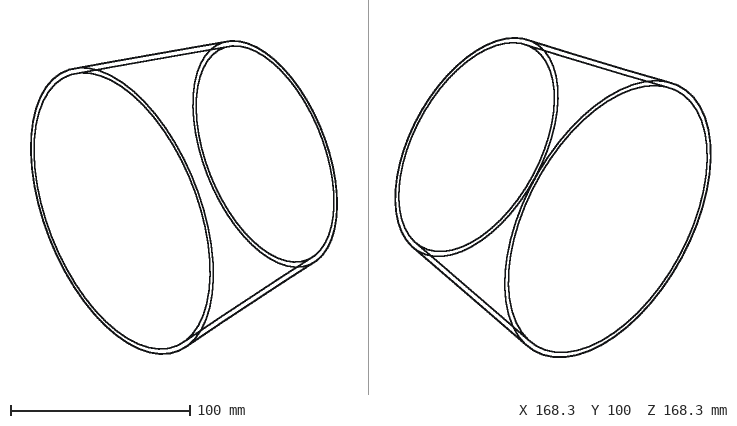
import cadquery as cq

LARGE_OUTER_DIAMETER = 168.3
SMALL_OUTER_DIAMETER = 133.0
WALL = 3.0
LENGTH = 100.0


def cone_along_y(large_radius, small_radius):
    """Solid truncated cone from the wide end at Y = 0 to the narrow end at Y = LENGTH."""
    return cq.Workplane(
        obj=cq.Solid.makeCone(
            large_radius, small_radius, LENGTH, pnt=cq.Vector(0, 0, 0), dir=cq.Vector(0, 1, 0)
        )
    )


large_radius = LARGE_OUTER_DIAMETER / 2
small_radius = SMALL_OUTER_DIAMETER / 2

outer_cone = cone_along_y(large_radius, small_radius)
inner_cone = cone_along_y(large_radius - WALL, small_radius - WALL)

result = outer_cone.cut(inner_cone)